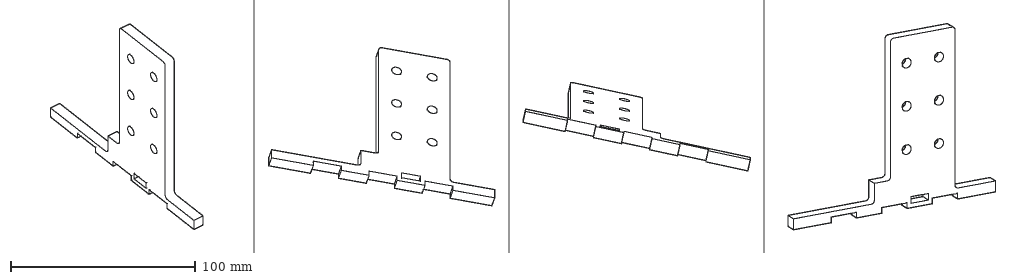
import cadquery as cq

length = 125.0
thickness = 6.4
height = 100.0
bar_height = 6.4

upright_left = 60.0
upright_right = 100.0
step_left = 50.0
step_height = 18.1
corner_radius = 2.0

notch_count = 3
notch_width = length / 8
notch_depth = 3.2
first_notch_left = 1.5 * notch_width

window_width = 10.6
window_bottom = 2.6
window_top = bar_height
window_center = first_notch_left + 3.5 * notch_width

hole_diameter = 5.5
hole_columns = 2
hole_rows = 3
hole_spacing_x = 20.0
hole_spacing_z = 25.0
top_hole_drop = 15.9
upright_center = (upright_left + upright_right) / 2


def block(left, right, bottom, top):
    """Full-thickness block between the given X and Z limits."""
    return cq.Workplane("XY").box(right - left, thickness, top - bottom, centered=False).translate(
        (left, 0, bottom)
    )


def make_plate():
    """Base bar, step and upright, with rounded top and inside corners."""
    outline = [
        (0, 0),
        (length, 0),
        (length, bar_height),
        (upright_right, bar_height),
        (upright_right, height),
        (upright_left, height),
        (upright_left, step_height),
        (step_left, step_height),
        (step_left, bar_height),
        (0, bar_height),
    ]
    rounded_corners = [
        (upright_right, bar_height),
        (upright_right, height),
        (upright_left, height),
        (upright_left, step_height),
        (step_left, bar_height),
    ]
    plate = cq.Workplane("XZ").polyline(outline).close().extrude(-thickness)
    for x, z in rounded_corners:
        corner_edge = cq.selectors.NearestToPointSelector((x, thickness / 2, z))
        plate = plate.edges("|Y").edges(corner_edge).fillet(corner_radius)
    return plate


def cut_notches(plate):
    for index in range(notch_count):
        left = first_notch_left + 2 * index * notch_width
        plate = plate.cut(block(left, left + notch_width, 0, notch_depth))
    return plate


def cut_window(plate):
    half_width = window_width / 2
    return plate.cut(
        block(window_center - half_width, window_center + half_width, window_bottom, window_top)
    )


def cut_holes(plate):
    grid_center_z = height - top_hole_drop - hole_spacing_z * (hole_rows - 1) / 2
    holes = (
        cq.Workplane("XZ")
        .center(upright_center, grid_center_z)
        .rarray(hole_spacing_x, hole_spacing_z, hole_columns, hole_rows)
        .circle(hole_diameter / 2)
        .extrude(-thickness)
    )
    return plate.cut(holes)


result = cut_holes(cut_window(cut_notches(make_plate())))